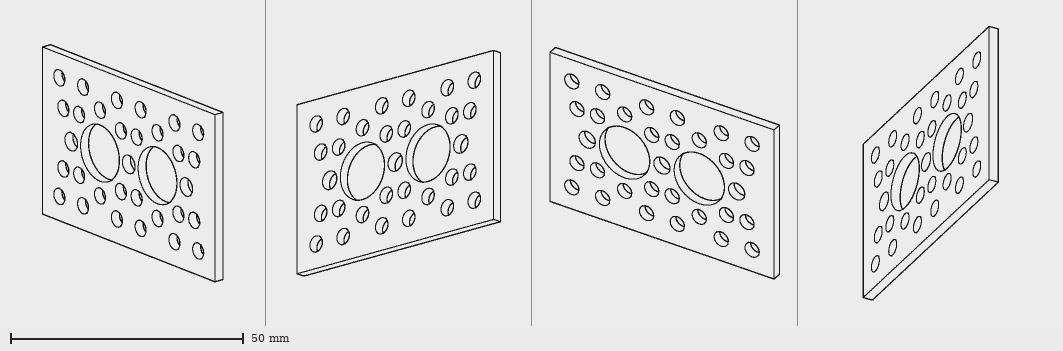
import cadquery as cq
import math

pitch = 57.15 / 3
length = 3 * pitch
height = 2 * pitch
thickness = 2.3

bore_diameter = 12.8
midline_hole_diameter = 4.1
small_hole_diameter = 3.6
inner_ring_radius = 9.8
outer_ring_radius = 14.65

bore_centers = [-pitch / 2, pitch / 2]
ring_centers = [-length / 2] + bore_centers + [length / 2]


def ring_points(radius, angle_from_vertical, centers):
    """Points at +/- the angle, above and below each center, that lie on the plate."""
    angle = math.radians(angle_from_vertical)
    offset = radius * math.sin(angle)
    rise = radius * math.cos(angle)
    return [
        (center + side * offset, level * rise)
        for center in centers
        for side in (-1, 1)
        for level in (-1, 1)
        if abs(center + side * offset) < length / 2
    ]


def cut_holes(plate, points, diameter):
    """Drill through holes along Y at the given (x, z) points."""
    return plate.faces("<Y").workplane(origin=(0, 0, 0)).pushPoints(points).hole(diameter)


result = cq.Workplane("XY").box(length, thickness, height)

result = cut_holes(result, [(x, 0) for x in bore_centers], bore_diameter)
result = cut_holes(result, [(x, 0) for x in (-pitch, 0, pitch)], midline_hole_diameter)

vertical_points = [(x, level * inner_ring_radius) for x in bore_centers for level in (-1, 1)]
small_hole_points = (
    vertical_points
    + ring_points(inner_ring_radius, 45, ring_centers)
    + ring_points(outer_ring_radius, 22.5, ring_centers)
)
result = cut_holes(result, small_hole_points, small_hole_diameter)